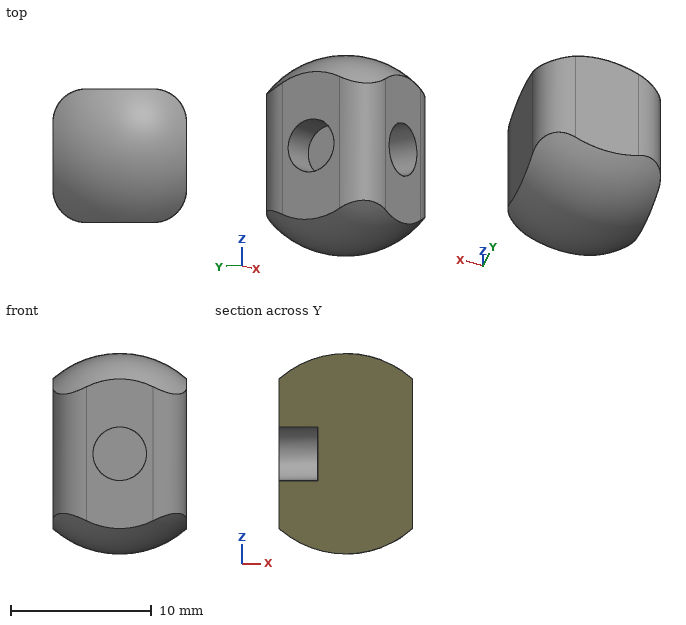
import cadquery as cq

width = 9.5
height = 14.25
corner_radius = width / 4
dome_radius = height / 2
hole_diameter = 3.8
hole_depth = 2.75


def make_body():
    """Square bar with rounded upright edges and spherical ends, centred on the origin."""
    bar = cq.Workplane("XY").box(width, width, height).edges("|Z").fillet(corner_radius)
    return bar.intersect(cq.Workplane("XY").sphere(dome_radius))


def make_side_hole(angle):
    """Flat-bottomed blind hole in the -Y face, turned about Z by angle degrees."""
    face_plane = cq.Workplane("XZ", origin=(0, -width / 2, 0))
    hole = face_plane.circle(hole_diameter / 2).extrude(-hole_depth)
    return hole.rotate((0, 0, 0), (0, 0, 1), angle)


result = make_body()

for hole_angle in (0, -90):
    result = result.cut(make_side_hole(hole_angle))